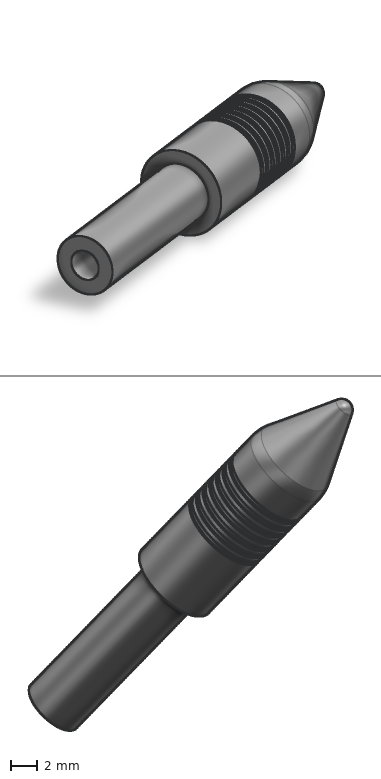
import cadquery as cq
import math

total_length = 35.7
body_diameter = 7.0
stem_diameter = 4.8
bore_diameter = 2.4

body_length = 21.0
first_groove_start = 9.7
nose_length = 7.45

tip_radius = 0.85
shoulder_radius = 2.57

groove_diameter = 6.6
groove_count = 7
grooved_length = 5.2
groove_width = grooved_length / (2 * groove_count - 1)
groove_pitch = 2 * groove_width
cut_clearance = 0.35

body_radius = body_diameter / 2
tip_y = total_length / 2
stem_end_y = tip_y - total_length
stem_length = total_length - body_length
bore_depth = stem_length

center_rise = body_radius - shoulder_radius
center_gap = nose_length - tip_radius
center_distance = math.hypot(center_rise, center_gap)
center_line_angle = math.atan2(center_rise, center_gap)
cone_half_angle = center_line_angle + math.asin((shoulder_radius - tip_radius) / center_distance)


def arc_point(center, radius, angle):
    """Point on a profile arc, with the angle measured from the radial direction towards the tip."""
    return (center[0] + radius * math.cos(angle), center[1] + radius * math.sin(angle))


def cylinder(diameter, start_y, length):
    """Solid cylinder on the axis, running towards the tip from start_y."""
    plane = cq.Workplane("XZ", origin=(0, start_y, 0))
    return plane.circle(diameter / 2).extrude(-length)


def make_body():
    """Revolve the half profile of the nose, body and stem."""
    tip_center = (0, tip_y - tip_radius)
    shoulder_center = (center_rise, tip_y - nose_length)
    tip_mid_angle = (math.pi / 2 + cone_half_angle) / 2
    profile = (
        cq.Workplane("XY")
        .moveTo(0, tip_y)
        .threePointArc(
            arc_point(tip_center, tip_radius, tip_mid_angle),
            arc_point(tip_center, tip_radius, cone_half_angle),
        )
        .lineTo(*arc_point(shoulder_center, shoulder_radius, cone_half_angle))
        .threePointArc(
            arc_point(shoulder_center, shoulder_radius, cone_half_angle / 2),
            (body_radius, tip_y - nose_length),
        )
        .lineTo(body_radius, tip_y - body_length)
        .lineTo(stem_diameter / 2, tip_y - body_length)
        .lineTo(stem_diameter / 2, stem_end_y)
        .lineTo(0, stem_end_y)
        .close()
    )
    return profile.revolve(360, (0, 0, 0), (0, 1, 0))


def groove_ring(index):
    """Ring of material removed by one groove."""
    start_y = tip_y - first_groove_start - index * groove_pitch - groove_width
    outer = cylinder(body_diameter + cut_clearance, start_y, groove_width)
    return outer.cut(cylinder(groove_diameter, start_y, groove_width))


result = make_body()
for groove_index in range(groove_count):
    result = result.cut(groove_ring(groove_index))

result = result.cut(cylinder(bore_diameter, stem_end_y, bore_depth))